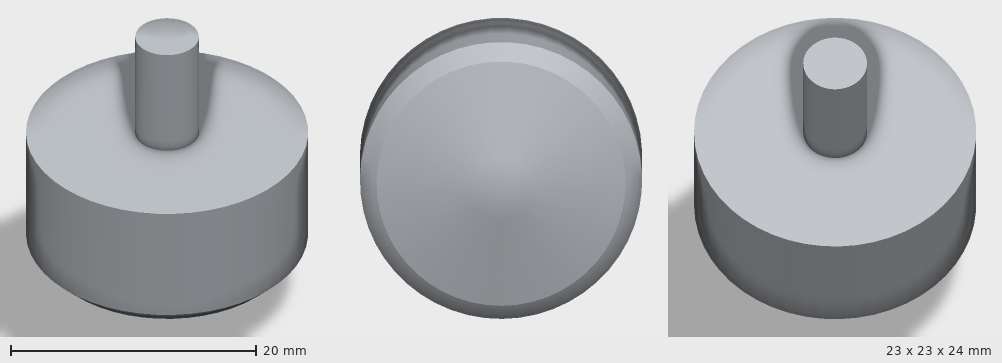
import cadquery as cq

total_height = 24.0
body_diameter = 23.0
stem_diameter = 5.2
stem_length = 9.55
chamfer_size = 1.35
tip_height = 3.0

body_radius = body_diameter / 2
stem_radius = stem_diameter / 2
tip_base_radius = body_radius - chamfer_size

body_bottom = tip_height + chamfer_size
body_top = total_height - stem_length


def half_profile():
    """Half section in the XZ plane, from the cone point up to the stem top."""
    return (
        cq.Workplane("XZ")
        .moveTo(0, 0)
        .lineTo(tip_base_radius, tip_height)
        .lineTo(body_radius, body_bottom)
        .lineTo(body_radius, body_top)
        .lineTo(stem_radius, body_top)
        .lineTo(stem_radius, total_height)
        .lineTo(0, total_height)
        .close()
    )


result = half_profile().revolve(360, (0, 0, 0), (0, 1, 0))